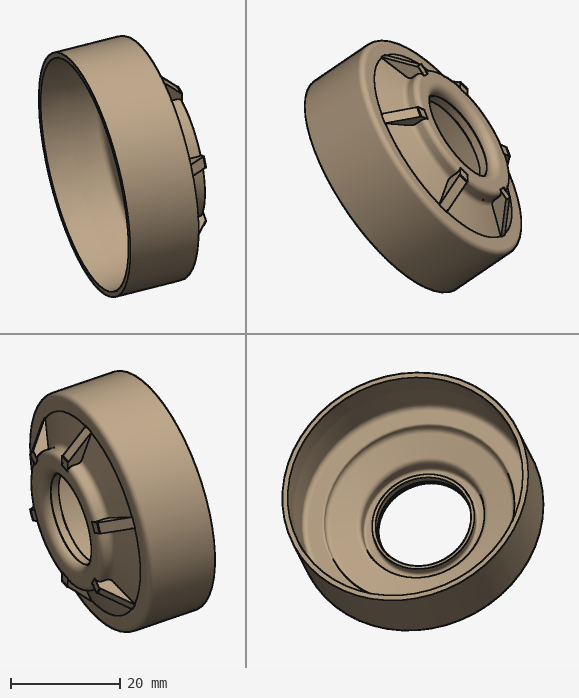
import cadquery as cq
import math

outer_radius = 23.05
total_height = 18.7
edge_round = 1.0
small_round = 0.5

skirt_height = 13.75
cone_foot_radius = 19.65
outer_cone_angle = 20.0
hub_radius = 13.5
hub_foot_height = skirt_height + (cone_foot_radius - hub_radius) * math.tan(math.radians(outer_cone_angle))

throat_radius = 8.8
throat_round = 1.7
bore_radius = 8.95
bore_end = 16.7
throat_start = bore_end + bore_radius - throat_radius
lip_radius = 9.6
lip_tip_height = 15.07

recess_radius = 11.52
recess_floor = 17.0
inner_cone_angle = 10.0
step_radius = 17.8
step_round = 0.4
step_top = 12.95
recess_mouth = step_top + (step_radius - recess_radius) * math.tan(math.radians(inner_cone_angle))
cavity_floor = 11.5
cavity_floor_radius = 21.7
rim_inner_radius = 22.05
straight_rim_depth = 5.0

rib_count = 6
rib_width = 2.1
rib_top_radius = 14.65
rib_edge_height = 0.2
rib_shoulder = total_height - rib_edge_height
rib_foot_radius = 19.78
rib_root_radius = 12.9
rib_root_height = 15.2
rib_embed = 0.7


def rounded_outline(corners):
    """Closed XY wire through (radius, height, rounding) corners, each rounded by a tangent arc."""
    arcs = []
    for i, (x, y, rounding) in enumerate(corners):
        corner = cq.Vector(x, y)
        before = cq.Vector(*corners[i - 1][:2])
        after = cq.Vector(*corners[(i + 1) % len(corners)][:2])
        to_before = (before - corner).normalized()
        to_after = (after - corner).normalized()
        half_angle = to_before.getAngle(to_after) / 2
        setback = rounding / math.tan(half_angle)
        bisector = (to_before + to_after).normalized()
        middle = corner + bisector * (rounding / math.sin(half_angle) - rounding)
        arcs.append((corner + to_before * setback, middle, corner + to_after * setback, rounding))

    outline = cq.Workplane("XY").moveTo(*arcs[0][2].toTuple()[:2])
    for start, middle, end, rounding in arcs[1:] + arcs[:1]:
        outline = outline.lineTo(start.x, start.y)
        if rounding > 0:
            outline = outline.threePointArc((middle.x, middle.y), (end.x, end.y))
    return outline.close()


def make_shell():
    """Turned body: skirt, flange, cone, hub and inner lip."""
    corners = [
        (outer_radius, 0, 0),
        (outer_radius, skirt_height, edge_round),
        (cone_foot_radius, skirt_height, 0),
        (hub_radius, hub_foot_height, edge_round),
        (hub_radius, total_height, edge_round),
        (throat_radius, total_height, throat_round),
        (throat_radius, throat_start, 0),
        (bore_radius, bore_end, 0),
        (bore_radius, lip_tip_height, 0),
        (lip_radius, lip_tip_height, 0),
        (lip_radius, recess_floor, small_round),
        (recess_radius, recess_floor, small_round),
        (recess_radius, recess_mouth, edge_round),
        (step_radius, step_top, edge_round),
        (step_radius, cavity_floor, step_round),
        (cavity_floor_radius, cavity_floor, edge_round),
        (rim_inner_radius, straight_rim_depth, 0),
        (rim_inner_radius, 0, 0),
    ]
    return rounded_outline(corners).revolve(360, (0, 0, 0), (0, 1, 0))


def make_rib(angle):
    """One sloping rib, turned about Y to the given angle."""
    profile = [
        (rib_root_radius, total_height - edge_round),
        (rib_root_radius, rib_root_height),
        (rib_foot_radius, skirt_height - rib_embed),
        (rib_foot_radius, skirt_height),
        (rib_top_radius, rib_shoulder),
        (rib_top_radius, total_height),
        (hub_radius - edge_round, total_height),
    ]
    rib = cq.Workplane("XY").polyline(profile).close().extrude(rib_width / 2, both=True)
    return rib.rotate((0, 0, 0), (0, 1, 0), angle)


result = make_shell()
for i in range(rib_count):
    result = result.union(make_rib(90 + i * 360 / rib_count))